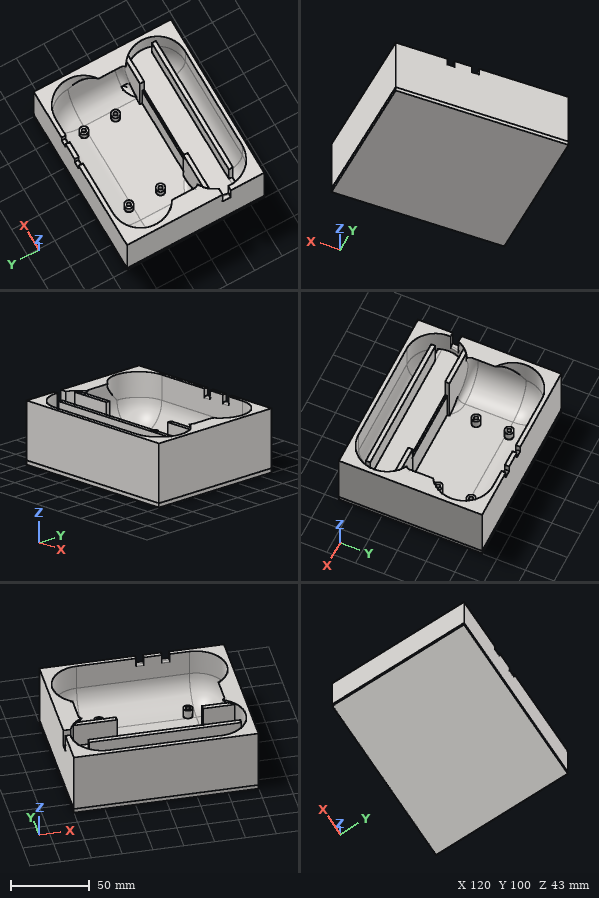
import cadquery as cq
import math

LENGTH = 120.0
WIDTH = 100.0
PLATE_HEIGHT = 3.0
HOUSING_HEIGHT = 40.0
TOP = PLATE_HEIGHT + HOUSING_HEIGHT

CORNER_RADIUS = 20.0
SIDE_WALL = 3.4
END_WALL = 3.0
FLOOR_THICKNESS = 3.0
FLOOR = PLATE_HEIGHT + FLOOR_THICKNESS
MID_LEVEL = FLOOR + CORNER_RADIUS
LEFT_CENTRE = SIDE_WALL + CORNER_RADIUS
RIGHT_CENTRE = LENGTH - LEFT_CENTRE
FRONT_CENTRE = END_WALL + CORNER_RADIUS
BACK_CENTRE = WIDTH - FRONT_CENTRE

RIB = 3.0
HOLDER_FRONT = 15.4
HOLDER_BACK = 38.5
RIB_DROP = 1.0
RIB_TOP = TOP - RIB_DROP
FRONT_RIB_LEFT = 13.3
FRONT_RIB_RIGHT = 112.2
GAP_LEFT = 36.0
GAP_RIGHT = 91.8
SILL_THICKNESS = 1.5
SILL_HEIGHT = 1.5
SILL_TOP = MID_LEVEL + SILL_HEIGHT

FLARE = 4.9
PILLAR_RADIUS = 9.6
PILLAR_Y = HOLDER_BACK - PILLAR_RADIUS
RIGHT_PILLAR_X = 107.0
RIGHT_RING_START = 105.0

SIDE_NOTCH_FRONT = 24.4
SIDE_NOTCH_WIDTH = 6.0
SIDE_NOTCH_DEPTH = 11.8
BACK_NOTCH_LEFTS = (62.2, 79.0)
BACK_NOTCH_WIDTH = 5.0
BACK_NOTCH_DEPTH = 5.0
NOTCH_ROUND = 1.0

STANDOFF_DIAMETER = 6.0
STANDOFF_BORE = 2.8
STANDOFF_HEIGHT = 6.0
STANDOFF_TOP = FLOOR + STANDOFF_HEIGHT
STANDOFF_XS = (34.1, 91.8)
STANDOFF_YS = (56.3, 79.3)
STANDOFF_PLACES = [(x, y) for x in STANDOFF_XS for y in STANDOFF_YS]


def block(x0, x1, y0, y1, z0, z1):
    """Box between two opposite corners."""
    return cq.Workplane("XY").box(x1 - x0, y1 - y0, z1 - z0, centered=False).translate((x0, y0, z0))


def upright(x, y, z0, z1, radius):
    """Vertical cylinder."""
    return cq.Workplane("XY").circle(radius).extrude(z1 - z0).translate((x, y, z0))


def corner_fill(plane, across, up, radius, across_sign, up_sign):
    """Outline between a square corner at (across, up) and a round tangent to both its legs."""
    middle = radius * (1 - math.sqrt(0.5))
    return (
        cq.Workplane(plane)
        .moveTo(across, up)
        .lineTo(across + across_sign * radius, up)
        .threePointArc(
            (across + across_sign * middle, up + up_sign * middle),
            (across, up + up_sign * radius),
        )
        .close()
    )


def overhang(x, outer_x):
    """Material over one side of the cavity, hollowed round behind the holder and left full beside it."""
    length = BACK_CENTRE - HOLDER_BACK
    low_x = min(x, outer_x)
    high_x = max(x, outer_x)
    tunnel = (
        cq.Workplane("XZ").circle(CORNER_RADIUS).extrude(-length)
        .translate((x, HOLDER_BACK, MID_LEVEL))
    )
    ledge = block(low_x, high_x, FRONT_CENTRE, BACK_CENTRE, MID_LEVEL, TOP).cut(tunnel)
    for y in (FRONT_CENTRE, BACK_CENTRE):
        ledge = ledge.cut(upright(x, y, MID_LEVEL, TOP, CORNER_RADIUS))
    return ledge


def cavity():
    """Pocket with ball-shaped lower corners, narrowed by an overhang on each side."""
    pocket = (
        block(SIDE_WALL, LENGTH - SIDE_WALL, END_WALL, WIDTH - END_WALL, FLOOR, TOP)
        .edges("|Z").fillet(CORNER_RADIUS)
        .faces("<Z").edges().fillet(CORNER_RADIUS)
    )
    return pocket.cut(overhang(LEFT_CENTRE, 0)).cut(overhang(RIGHT_CENTRE, LENGTH))


def holder():
    """Shelf with a front rib, and a back rib that is cut down to a thin sill at its gap."""
    shelf = block(0, LENGTH, HOLDER_FRONT, HOLDER_BACK, 0, MID_LEVEL)
    rounding = corner_fill("YZ", HOLDER_FRONT, MID_LEVEL, RIB, 1, -1).extrude(FRONT_RIB_LEFT)
    shelf = shelf.cut(rounding)
    front_rib = block(
        FRONT_RIB_LEFT, FRONT_RIB_RIGHT, HOLDER_FRONT, HOLDER_FRONT + RIB, MID_LEVEL, RIB_TOP
    )
    back_rib = block(0, LENGTH, HOLDER_BACK - RIB, HOLDER_BACK, MID_LEVEL, RIB_TOP)
    gap = block(GAP_LEFT, GAP_RIGHT, HOLDER_BACK - RIB, HOLDER_BACK, SILL_TOP, RIB_TOP)
    sill_back = HOLDER_BACK - RIB + SILL_THICKNESS
    recess = block(GAP_LEFT, GAP_RIGHT, sill_back, HOLDER_BACK, FLOOR, SILL_TOP)
    return shelf.union(front_rib).union(back_rib).cut(gap).cut(recess)


def pillar(x, base):
    """Upright round pillar with a concave flare at its foot."""
    foot = corner_fill("XZ", PILLAR_RADIUS, 0, FLARE, 1, 1).revolve(360, (0, 0), (0, 1))
    core = upright(0, 0, 0, FLARE, PILLAR_RADIUS)
    return core.union(foot).translate((x, PILLAR_Y, base))


def ring(x):
    """Concave flare around the lengthwise axis of one side of the cavity."""
    flare = corner_fill("XY", CORNER_RADIUS, 0, FLARE, -1, 1).revolve(360, (0, 0), (0, 1))
    return flare.translate((x, HOLDER_BACK, MID_LEVEL))


def flares():
    """Flares on both sides; above mid level they stop at the upright wall of the front rounds."""
    left = ring(LEFT_CENTRE).intersect(block(0, LEFT_CENTRE, 0, WIDTH, 0, TOP))
    right = ring(RIGHT_CENTRE).intersect(block(RIGHT_RING_START, LENGTH, 0, WIDTH, 0, TOP))
    rings = left.union(right).cut(
        block(LEFT_CENTRE, RIGHT_CENTRE, 0, FRONT_CENTRE + CORNER_RADIUS, MID_LEVEL, TOP)
    )
    for x in (LEFT_CENTRE, RIGHT_CENTRE):
        rings = rings.cut(upright(x, FRONT_CENTRE, MID_LEVEL, TOP, CORNER_RADIUS))
    floor_dip = math.sqrt(CORNER_RADIUS**2 - (RIGHT_PILLAR_X - RIGHT_CENTRE) ** 2)
    pillars = pillar(LEFT_CENTRE, FLOOR).union(pillar(RIGHT_PILLAR_X, MID_LEVEL - floor_dip))
    beside_holder = block(0, LENGTH, HOLDER_BACK, WIDTH, 0, TOP)
    return rings.union(pillars.intersect(beside_holder))


def side_notch():
    """Notch through the left wall, with a rounded inner edge on its floor."""
    back = SIDE_NOTCH_FRONT + SIDE_NOTCH_WIDTH
    floor = TOP - SIDE_NOTCH_DEPTH
    notch = block(0, LEFT_CENTRE, SIDE_NOTCH_FRONT, back, floor, TOP)
    lip = (
        corner_fill("XZ", CORNER_RADIUS, floor, NOTCH_ROUND, 1, -1)
        .revolve(360, (0, 0), (0, 1))
        .translate((LEFT_CENTRE, FRONT_CENTRE, 0))
        .intersect(block(0, LEFT_CENTRE, SIDE_NOTCH_FRONT, back, FLOOR, TOP))
    )
    return notch.union(lip)


def back_notch(left):
    """Notch through the back wall, with a rounded inner edge on its floor."""
    floor = TOP - BACK_NOTCH_DEPTH
    inside = WIDTH - END_WALL
    notch = block(left, left + BACK_NOTCH_WIDTH, inside, WIDTH, floor, TOP)
    lip = corner_fill("YZ", inside, floor, NOTCH_ROUND, 1, -1).extrude(BACK_NOTCH_WIDTH)
    return notch.union(lip.translate((left, 0, 0)))


def standoff(x, y):
    """Round post with a screw bore through its full height."""
    post = upright(x, y, FLOOR, STANDOFF_TOP, STANDOFF_DIAMETER / 2)
    return post.cut(upright(x, y, FLOOR, STANDOFF_TOP, STANDOFF_BORE / 2))


def base_plate():
    """Flat plate under the whole housing."""
    return block(0, LENGTH, 0, WIDTH, 0, PLATE_HEIGHT)


def housing():
    """Block with the cavity, holder and notches, and a flat-bottomed seat for each standoff."""
    body = block(0, LENGTH, 0, WIDTH, PLATE_HEIGHT, TOP)
    body = body.cut(cavity().cut(holder()).cut(flares()))
    body = body.cut(side_notch())
    for left in BACK_NOTCH_LEFTS:
        body = body.cut(back_notch(left))
    for x, y in STANDOFF_PLACES:
        body = body.cut(upright(x, y, FLOOR, STANDOFF_TOP, STANDOFF_DIAMETER / 2))
    return body


standoffs = [standoff(x, y).val() for x, y in STANDOFF_PLACES]

result = cq.Compound.makeCompound([base_plate().val(), housing().solids().val(), *standoffs])